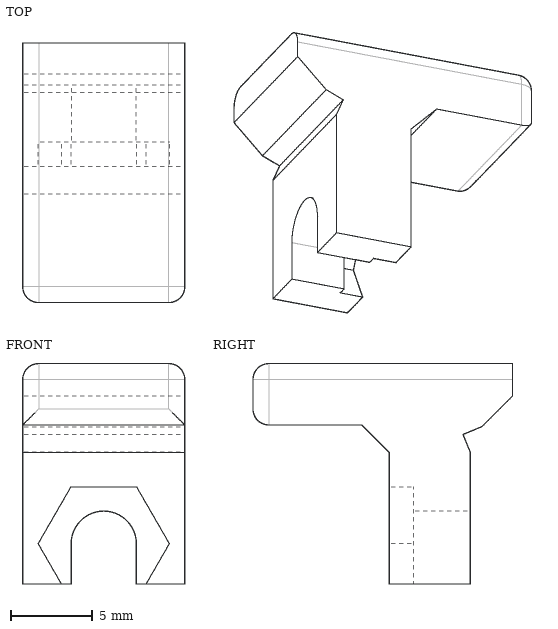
import cadquery as cq
import math

width = 10.0
length = 16.0
height = 13.6

cap_thickness = 3.8
edge_radius = 1.0
back_face_height = 2.0

leg_thickness = 5.0
leg_setback = 2.6
gusset = 1.7

groove_inset = 0.45
groove_rise = 0.22
groove_tilt = math.radians(22.5)

axis_height = 2.5
slot_width = 4.0
nut_across_flats = 7.0
nut_depth = 1.5

cap_back = leg_thickness + leg_setback
cap_front = cap_back - length
cap_bottom = height - cap_thickness
slope_top = height - back_face_height
slope_bottom = slope_top - leg_setback


def make_body():
    """Side profile of cap and leg, extruded across the width."""
    arc_offset = edge_radius * (1 - math.sqrt(0.5))
    return (
        cq.Workplane("YZ", origin=(-width / 2, 0, 0))
        .moveTo(0, 0)
        .lineTo(leg_thickness, 0)
        .lineTo(leg_thickness, slope_bottom)
        .lineTo(cap_back, slope_top)
        .lineTo(cap_back, height)
        .lineTo(cap_front, height)
        .lineTo(cap_front, cap_bottom + edge_radius)
        .threePointArc(
            (cap_front + arc_offset, cap_bottom + arc_offset),
            (cap_front + edge_radius, cap_bottom),
        )
        .lineTo(-gusset, cap_bottom)
        .lineTo(0, cap_bottom - gusset)
        .close()
        .extrude(width)
    )


def make_rounded_envelope():
    """Block with rounded top side edges, top front edge and front corners."""
    block = cq.Workplane("XY").box(width, length, height, centered=(True, False, False))
    block = block.translate((0, cap_front, 0))
    rounded_edges = block.edges("(>Z and |Y) or (>Z and <Y) or (|Z and <Y)")
    return rounded_edges.fillet(edge_radius)


def make_groove():
    """V groove across the width, with its mouth on the slope and on the leg."""
    apex_y = leg_thickness - groove_inset
    apex_z = slope_bottom + groove_rise
    upper_run = (groove_inset + groove_rise) / (1 - math.tan(groove_tilt))
    upper_rise = upper_run * math.tan(groove_tilt)
    lower_drop = groove_inset / math.tan(groove_tilt)
    return (
        cq.Workplane("YZ", origin=(-width / 2, 0, 0))
        .moveTo(apex_y, apex_z)
        .lineTo(apex_y + upper_run, apex_z + upper_rise)
        .lineTo(leg_thickness + upper_run, apex_z - lower_drop)
        .lineTo(leg_thickness, apex_z - lower_drop)
        .close()
        .extrude(width)
    )


def make_screw_slot():
    """Round-topped slot through the leg, open at the foot."""
    screw_hole = (
        cq.Workplane("XZ", origin=(0, 0, axis_height))
        .circle(slot_width / 2)
        .extrude(-leg_thickness)
    )
    opening = cq.Workplane("XY").box(
        slot_width, leg_thickness, axis_height, centered=(True, False, False)
    )
    return screw_hole.union(opening)


def make_nut_pocket():
    """Hexagonal pocket in the front of the leg, flat side up."""
    across_corners = nut_across_flats / math.cos(math.pi / 6)
    return (
        cq.Workplane("XZ", origin=(0, 0, axis_height))
        .polygon(6, across_corners)
        .extrude(-nut_depth)
    )


result = (
    make_body()
    .intersect(make_rounded_envelope())
    .cut(make_groove())
    .cut(make_screw_slot())
    .cut(make_nut_pocket())
)